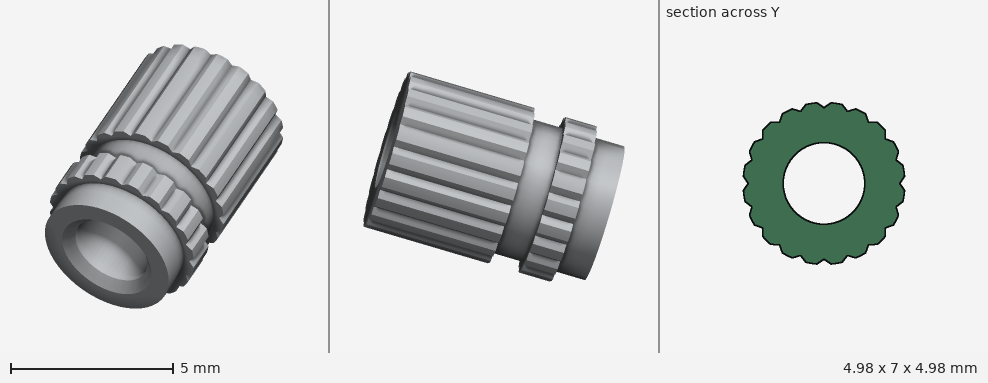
import cadquery as cq
import math

pilot_length = 1.0
short_band_length = 1.0
neck_length = 1.0
long_band_length = 4.0
total_length = pilot_length + short_band_length + neck_length + long_band_length

core_radius = 2.15
tip_radius = 2.5
root_radius = 2.34
bore_radius = 1.25
lead_in_radius = 1.55
lead_in_depth = 0.3

groove_count = 20
groove_half_angle = 5.0


def polar(radius, degrees):
    angle = math.radians(degrees)
    return radius * math.cos(angle), radius * math.sin(angle)


def section_plane(y):
    """XZ plane at the given Y, with its normal along +Y."""
    return cq.Plane(origin=(0, y, 0), xDir=(1, 0, 0), normal=(0, 1, 0))


def cylinder(radius, y_start, length):
    return cq.Workplane(section_plane(y_start)).circle(radius).extrude(length)


def knurled_band(y_start, length):
    """Straight-knurled ring: arc-topped teeth separated by V-grooves."""
    pitch = 360.0 / groove_count
    outline = cq.Workplane(section_plane(y_start)).moveTo(*polar(root_radius, 0))
    for index in range(groove_count):
        root = index * pitch
        next_root = root + pitch
        outline = outline.lineTo(*polar(tip_radius, root + groove_half_angle))
        outline = outline.threePointArc(
            polar(tip_radius, root + pitch / 2),
            polar(tip_radius, next_root - groove_half_angle),
        )
        if index < groove_count - 1:
            outline = outline.lineTo(*polar(root_radius, next_root))
    return outline.close().extrude(length)


def bore_with_lead_in():
    """Through bore with a conical lead-in at the Y = 0 end."""
    profile = (
        cq.Workplane("XY")
        .moveTo(0, 0)
        .lineTo(lead_in_radius, 0)
        .lineTo(bore_radius, lead_in_depth)
        .lineTo(bore_radius, total_length)
        .lineTo(0, total_length)
        .close()
    )
    return profile.revolve(360, (0, 0, 0), (0, 1, 0))


short_band_start = pilot_length
long_band_start = total_length - long_band_length

body = cylinder(core_radius, 0, total_length)
body = body.union(knurled_band(short_band_start, short_band_length))
body = body.union(knurled_band(long_band_start, long_band_length))
result = body.cut(bore_with_lead_in())